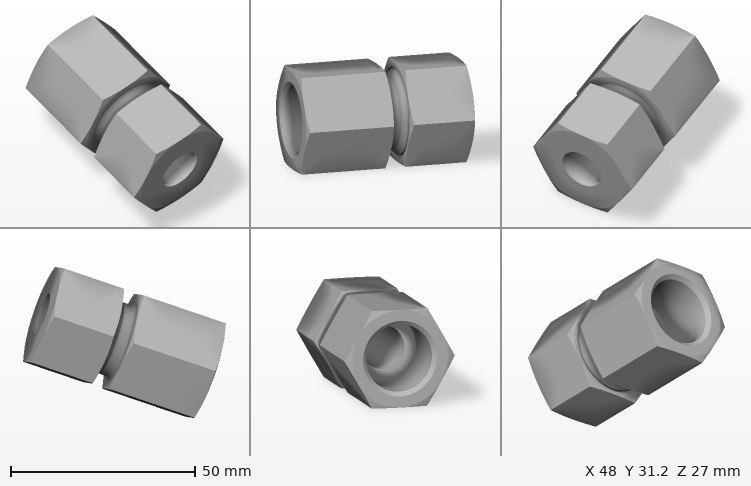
import cadquery as cq
import math

length = 48.0
across_corners = 31.2
across_flats = across_corners * math.cos(math.radians(30))
long_hex_end = 24.9
short_hex_start = 29.6
corner_chamfer_angle = 15.0

neck_radius = 20.4 / 2
collar_radius = 23.5 / 2
neck_fillet_radius = 1.5
neck_fillet_length = 1.35

gap_outer_radius = 12.5
gap_depth = 0.95

through_diameter = 12.0
socket_radius = 18.6 / 2
socket_depth = 16.8
socket_mouth_radius = 20.9 / 2


def chamfered_hexagon(start, end):
    """Hexagonal prism along X, with its corners turned down at both ends."""
    prism = (
        cq.Workplane("YZ", origin=(start, 0, 0))
        .polygon(6, across_corners)
        .extrude(end - start)
    )
    face_radius = across_flats / 2
    corner_radius = across_corners / 2
    setback = (corner_radius - face_radius) * math.tan(math.radians(corner_chamfer_angle))
    envelope = (
        cq.Workplane("XY")
        .moveTo(start, 0)
        .lineTo(start, face_radius)
        .lineTo(start + setback, corner_radius)
        .lineTo(end - setback, corner_radius)
        .lineTo(end, face_radius)
        .lineTo(end, 0)
        .close()
        .revolve(360, (0, 0, 0), (1, 0, 0))
    )
    return prism.intersect(envelope)


def neck():
    """Round neck with a concave arc at one end and a 45 degree cone at the other."""
    cone_start = short_hex_start - (collar_radius - neck_radius)
    arc_end = long_hex_end + neck_fillet_length
    arc_centre_radius = neck_radius + neck_fillet_radius
    arc_sweep = math.asin(neck_fillet_length / neck_fillet_radius)
    arc_start_radius = arc_centre_radius - neck_fillet_radius * math.cos(arc_sweep)
    arc_middle = (
        arc_end - neck_fillet_radius * math.sin(arc_sweep / 2),
        arc_centre_radius - neck_fillet_radius * math.cos(arc_sweep / 2),
    )
    return (
        cq.Workplane("XY")
        .moveTo(long_hex_end, 0)
        .lineTo(long_hex_end, arc_start_radius)
        .threePointArc(arc_middle, (arc_end, neck_radius))
        .lineTo(cone_start, neck_radius)
        .lineTo(short_hex_start, collar_radius)
        .lineTo(short_hex_start, 0)
        .close()
        .revolve(360, (0, 0, 0), (1, 0, 0))
    )


def socket():
    """Flat-bottomed bore in the long hexagon, with a 45 degree countersunk mouth."""
    mouth_depth = socket_mouth_radius - socket_radius
    return (
        cq.Workplane("XY")
        .lineTo(0, socket_mouth_radius)
        .lineTo(mouth_depth, socket_radius)
        .lineTo(socket_depth, socket_radius)
        .lineTo(socket_depth, 0)
        .close()
        .revolve(360, (0, 0, 0), (1, 0, 0))
    )


def collar_gap():
    """Ring-shaped recess that separates the collar from the short hexagon."""
    return (
        cq.Workplane("YZ", origin=(short_hex_start, 0, 0))
        .circle(gap_outer_radius)
        .circle(collar_radius)
        .extrude(gap_depth)
    )


body = (
    chamfered_hexagon(0, long_hex_end)
    .union(neck())
    .union(chamfered_hexagon(short_hex_start, length))
)
through_hole = cq.Workplane("YZ").circle(through_diameter / 2).extrude(length)
result = body.cut(collar_gap()).cut(socket()).cut(through_hole)